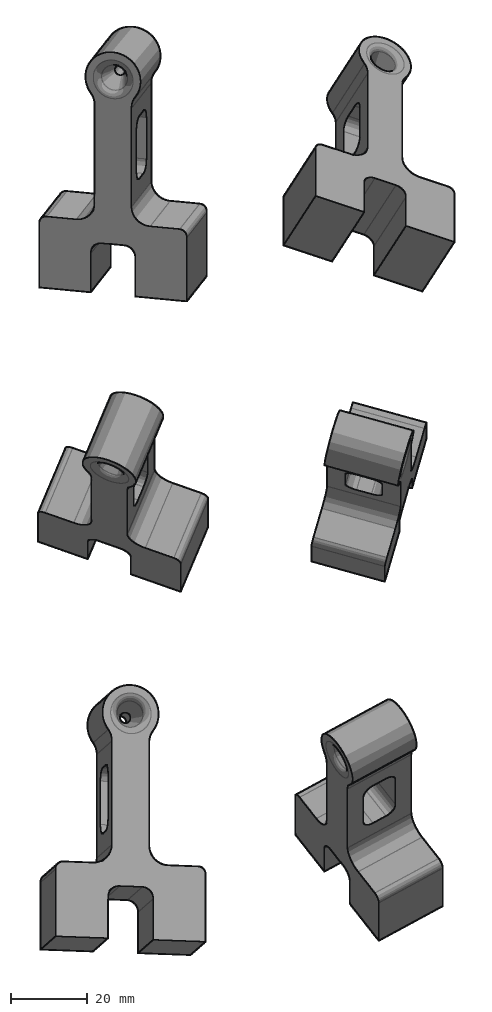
import cadquery as cq
import math

base_width = 40.0
depth = 20.0
total_height = 67.5

shoulder_height = 20.0
shoulder_radius = 2.0
slot_width = 12.0
slot_height = 14.0
slot_radius = 3.0

stem_width = base_width / 4
stem_fillet = 5.0
head_radius = 7.5
neck_radius = 5.0
head_z = total_height - head_radius

window_width = base_width / 4
window_bottom = 30.0
window_top = 47.45
window_radius = 3.0

throat_diameter = 2.8
cone_diameter = 7.95
cone_depth = 7.0
rim_radius = 2.0
selection_margin = 0.35


def make_base():
    base = cq.Workplane("XY").box(base_width, depth, shoulder_height, centered=(True, True, False))
    base = base.edges("|Y and >Z").fillet(shoulder_radius)
    slot = cq.Workplane("XY").box(slot_width, depth, slot_height, centered=(True, True, False))
    return base.cut(slot.edges("|Y and >Z").fillet(slot_radius))


def make_stem():
    """Stem with concave fillets tangent to the shoulders below and the head above."""
    half = stem_width / 2
    diagonal = math.sqrt(0.5)
    foot_x = half + stem_fillet
    foot_z = shoulder_height + stem_fillet

    neck_x = half + neck_radius
    center_distance = head_radius + neck_radius
    neck_z = head_z - math.sqrt(center_distance**2 - neck_x**2)
    tangent_x = neck_x * head_radius / center_distance
    tangent_z = head_z + (neck_z - head_z) * head_radius / center_distance
    turn = math.atan2(head_z - neck_z, neck_x) / 2
    neck_mid_x = neck_x - neck_radius * math.cos(turn)
    neck_mid_z = neck_z + neck_radius * math.sin(turn)
    foot_mid_x = foot_x - stem_fillet * diagonal
    foot_mid_z = foot_z - stem_fillet * diagonal

    return (
        cq.Workplane("XZ")
        .moveTo(-foot_x, shoulder_height)
        .threePointArc((-foot_mid_x, foot_mid_z), (-half, foot_z))
        .lineTo(-half, neck_z)
        .threePointArc((-neck_mid_x, neck_mid_z), (-tangent_x, tangent_z))
        .threePointArc((0, total_height), (tangent_x, tangent_z))
        .threePointArc((neck_mid_x, neck_mid_z), (half, neck_z))
        .lineTo(half, foot_z)
        .threePointArc((foot_mid_x, foot_mid_z), (foot_x, shoulder_height))
        .close()
        .extrude(depth / 2, both=True)
    )


def make_window():
    height = window_top - window_bottom
    window = cq.Workplane("XY").box(stem_width, window_width, height)
    window = window.edges("|X").fillet(window_radius)
    return window.translate((0, 0, (window_top + window_bottom) / 2))


def make_bore():
    """Bore along Y: both cones narrow from the head's end faces to the throat."""
    throat = throat_diameter / 2
    cone = cone_diameter / 2
    half_depth = depth / 2
    throat_end = half_depth - cone_depth
    profile = [
        (0, -half_depth),
        (cone, -half_depth),
        (throat, -throat_end),
        (throat, throat_end),
        (cone, half_depth),
        (0, half_depth),
    ]
    bore = cq.Workplane("XY").polyline(profile).close().revolve(360, (0, 0), (0, 1))
    return bore.translate((0, 0, head_z))


def round_bore_rims(body):
    """Round the edge where each cone meets its end face."""
    reach = cone_diameter / 2 + selection_margin
    for side in (-1, 1):
        face_y = side * depth / 2
        around_rim = cq.selectors.BoxSelector(
            (-reach, face_y - selection_margin, head_z - reach),
            (reach, face_y + selection_margin, head_z + reach),
            boundingbox=True,
        )
        body = body.edges(around_rim).fillet(rim_radius)
    return body


result = make_base().union(make_stem()).cut(make_window()).cut(make_bore())
result = round_bore_rims(result)